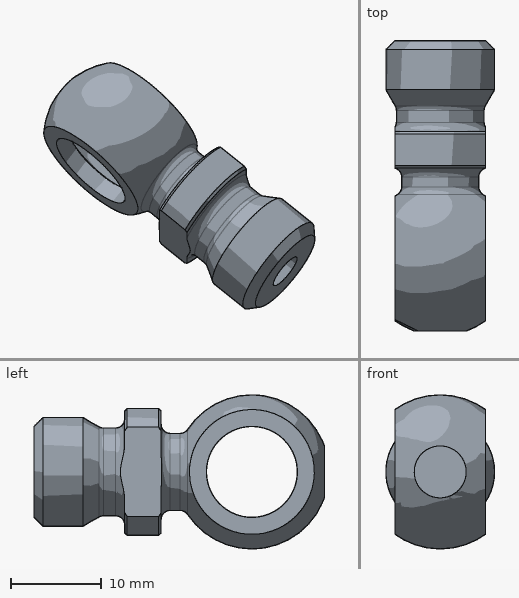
import cadquery as cq
import math

ball_radius = 17.0 / 2
eye_half_width = 5.0
eye_bore_radius = 5.0
front_flat_y = -8.0

groove_half_width = 3.0
groove_depth = 1.5

collar_radius = 7.0
collar_start_y = 10.0
collar_end_y = 14.0
collar_chamfer = 0.3
lower_neck_radius = 4.25
upper_neck_radius = 9.7 / 2
neck_fillet = 1.0
head_radius = 12.0 / 2
head_start_y = 18.6
head_chamfer = 1.0
stem_end_y = 24.0
head_cone_angle = math.radians(30)
passage_diameter = 4.0


def make_eye():
    """Sphere with two side faces and a small flat opposite the stem."""
    length = ball_radius - front_flat_y
    envelope = cq.Workplane("XY").box(2 * eye_half_width, length, 2 * ball_radius)
    envelope = envelope.translate((0, front_flat_y + length / 2, 0))
    return cq.Workplane("XY").sphere(ball_radius).intersect(envelope)


def make_stem():
    """Turned stem: fillet to the ball, lower neck, collar, upper neck and head."""
    ball_fillet_r = lower_neck_radius + neck_fillet
    ball_fillet_y = math.sqrt((ball_radius + neck_fillet) ** 2 - ball_fillet_r**2)
    ball_share = ball_radius / (ball_radius + neck_fillet)
    ball_tangent = (ball_fillet_r * ball_share, ball_fillet_y * ball_share)
    sweep = math.atan2(ball_fillet_y, ball_fillet_r)
    fillet_middle = (
        ball_fillet_r - neck_fillet * math.cos(sweep / 2),
        ball_fillet_y - neck_fillet * math.sin(sweep / 2),
    )

    def collar_fillet_middle(neck_radius, collar_y, direction):
        offset = neck_fillet * (1 - math.sqrt(0.5))
        return (neck_radius + offset, collar_y + direction * offset)

    cone_end_r = upper_neck_radius + neck_fillet * (1 - math.cos(head_cone_angle))
    cone_end_y = head_start_y - (head_radius - cone_end_r) / math.tan(head_cone_angle)
    neck_end_y = cone_end_y - neck_fillet * math.sin(head_cone_angle)
    cone_fillet_middle = (
        upper_neck_radius + neck_fillet * (1 - math.cos(head_cone_angle / 2)),
        neck_end_y + neck_fillet * math.sin(head_cone_angle / 2),
    )

    profile = (
        cq.Workplane("XY")
        .lineTo(ball_tangent[0], 0)
        .lineTo(*ball_tangent)
        .threePointArc(fillet_middle, (lower_neck_radius, ball_fillet_y))
        .lineTo(lower_neck_radius, collar_start_y - neck_fillet)
        .threePointArc(
            collar_fillet_middle(lower_neck_radius, collar_start_y, -1),
            (lower_neck_radius + neck_fillet, collar_start_y),
        )
        .lineTo(collar_radius - collar_chamfer, collar_start_y)
        .lineTo(collar_radius, collar_start_y + collar_chamfer)
        .lineTo(collar_radius, collar_end_y - collar_chamfer)
        .lineTo(collar_radius - collar_chamfer, collar_end_y)
        .lineTo(upper_neck_radius + neck_fillet, collar_end_y)
        .threePointArc(
            collar_fillet_middle(upper_neck_radius, collar_end_y, 1),
            (upper_neck_radius, collar_end_y + neck_fillet),
        )
        .lineTo(upper_neck_radius, neck_end_y)
        .threePointArc(cone_fillet_middle, (cone_end_r, cone_end_y))
        .lineTo(head_radius, head_start_y)
        .lineTo(head_radius, stem_end_y - head_chamfer)
        .lineTo(head_radius - head_chamfer, stem_end_y)
        .lineTo(0, stem_end_y)
        .close()
    )
    return profile.revolve(360, (0, 0, 0), (0, 1, 0))


def cut_wrench_flats(stem):
    """Flatten both sides of the collar and its fillets, level with the eye faces."""
    flat_start_y = collar_start_y - neck_fillet
    flat_end_y = collar_end_y + neck_fillet
    flat_depth = collar_radius - eye_half_width
    for side in (-1, 1):
        cutter = cq.Workplane("XY").box(flat_depth, flat_end_y - flat_start_y, 2 * collar_radius)
        middle_x = side * (eye_half_width + flat_depth / 2)
        stem = stem.cut(cutter.translate((middle_x, (flat_start_y + flat_end_y) / 2, 0)))
    return stem


def make_eye_bore():
    """Cross bore along X with a groove around its middle, rounded into a flat floor."""
    floor_half_width = groove_half_width - groove_depth
    floor_radius = eye_bore_radius + groove_depth
    arc_offset = groove_depth * math.sqrt(0.5)
    arc_middle_x = floor_half_width + arc_offset
    arc_middle_r = eye_bore_radius + arc_offset
    profile = (
        cq.Workplane("XY")
        .moveTo(-eye_half_width, 0)
        .lineTo(-eye_half_width, eye_bore_radius)
        .lineTo(-groove_half_width, eye_bore_radius)
        .threePointArc((-arc_middle_x, arc_middle_r), (-floor_half_width, floor_radius))
        .lineTo(floor_half_width, floor_radius)
        .threePointArc((arc_middle_x, arc_middle_r), (groove_half_width, eye_bore_radius))
        .lineTo(eye_half_width, eye_bore_radius)
        .lineTo(eye_half_width, 0)
        .close()
    )
    return profile.revolve(360, (0, 0, 0), (1, 0, 0))


def make_passage():
    """Passage along the stem, from the eye bore to the end of the head."""
    return cq.Workplane("XZ").circle(passage_diameter / 2).extrude(-stem_end_y)


stem = cut_wrench_flats(make_stem())
result = make_eye().union(stem).cut(make_eye_bore()).cut(make_passage())